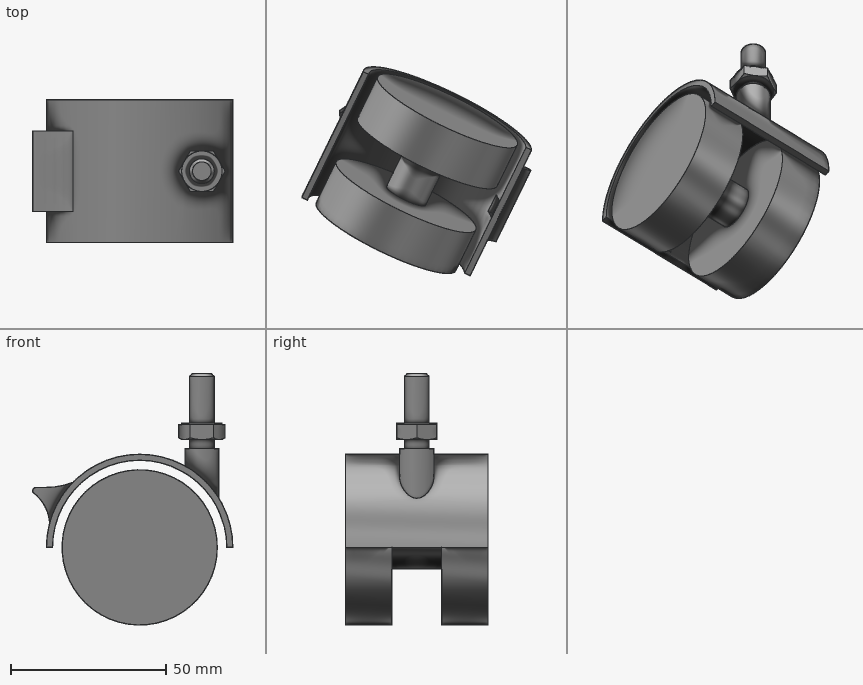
import cadquery as cq
import math

body_width = 46.0

wheel_radius = 25.0
wheel_width = 15.0
axle_radius = 7.0

cover_radius = 30.0
cover_thickness = 2.0

window_size = 6.0
window_bottom = 2.0

lever_width = 26.0
lever_tip_x = -34.46
lever_top = 19.33
lever_tip_radius = 1.2
lever_tip_bottom = 17.7
lever_flat_end_x = -30.2
lever_root_x = -21.5
lever_bottom = 7.7
lever_underside_radius = 13.3

stem_x = 20.0
stem_top = 56.0
stem_radius = 4.0
stem_chamfer = 1.0
post_radius = 5.5
post_top = 31.8
nut_across_flats = 13.0
nut_bottom = 34.7
nut_hex_top = 39.5
nut_top = 40.0
nut_chamfer_angle = 30.0


def y_cylinder(radius, width):
    """Cylinder on the wheel axis, centred on Y = 0."""
    return cq.Workplane("XZ", origin=(0, width / 2, 0)).circle(radius).extrude(width)


def on_cover(x=None, z=None):
    """Point on the cover's outer arc, on the lever side, from its x or its z."""
    if x is None:
        return (-math.sqrt(cover_radius**2 - z**2), z)
    return (x, math.sqrt(cover_radius**2 - x**2))


def z_cylinder(radius, bottom, top):
    """Cylinder on the stem axis."""
    return cq.Workplane("XY", origin=(stem_x, 0, bottom)).circle(radius).extrude(top - bottom)


def make_cover_shell():
    inner_radius = cover_radius - cover_thickness
    shell = (
        cq.Workplane("XZ")
        .moveTo(-cover_radius, 0)
        .threePointArc((0, cover_radius), (cover_radius, 0))
        .lineTo(inner_radius, 0)
        .threePointArc((0, inner_radius), (-inner_radius, 0))
        .close()
        .extrude(body_width / 2, both=True)
    )
    window = cq.Workplane("XY").box(cover_radius, window_size, window_size, centered=(False, True, False))
    return shell.cut(window.translate((-cover_radius, 0, window_bottom)))


def make_lever():
    root_top = on_cover(x=lever_root_x)
    root_bottom = on_cover(z=lever_bottom)
    root_middle = on_cover(z=(root_top[1] + lever_bottom) / 2)

    tip_x = lever_tip_x + lever_tip_radius
    tip_z = lever_top - lever_tip_radius
    tip_edge_x = tip_x - math.sqrt(lever_tip_radius**2 - (tip_z - lever_tip_bottom) ** 2)
    return (
        cq.Workplane("XZ", origin=(0, lever_width / 2, 0))
        .moveTo(*root_bottom)
        .radiusArc((tip_edge_x, lever_tip_bottom), -lever_underside_radius)
        .threePointArc((lever_tip_x, tip_z), (tip_x, lever_top))
        .lineTo(lever_flat_end_x, lever_top)
        .tangentArcPoint(root_top, relative=False)
        .threePointArc(root_middle, root_bottom)
        .close()
        .extrude(lever_width)
    )


def make_post():
    post = z_cylinder(post_radius, 0, post_top)
    return post.cut(y_cylinder(cover_radius - cover_thickness, body_width))


def make_stem():
    return z_cylinder(stem_radius, post_top, stem_top).faces(">Z").chamfer(stem_chamfer)


def make_nut():
    corner_diameter = nut_across_flats / math.cos(math.radians(30))
    face_radius = nut_across_flats / 2
    hexagon = (
        cq.Workplane("XY", origin=(stem_x, 0, nut_bottom))
        .polygon(6, corner_diameter)
        .extrude(nut_hex_top - nut_bottom)
    )
    cone_height = nut_hex_top - nut_bottom
    cone_top_radius = face_radius + cone_height / math.tan(math.radians(nut_chamfer_angle))
    cone = cq.Solid.makeCone(face_radius, cone_top_radius, cone_height, pnt=cq.Vector(stem_x, 0, nut_bottom))
    washer_face = z_cylinder(face_radius, nut_hex_top, nut_top)
    return hexagon.intersect(cq.Workplane(cone)).union(washer_face)


def make_housing():
    """Cover, lever, post, stem and nut as one solid."""
    return make_cover_shell().union(make_lever()).union(make_post()).union(make_stem()).union(make_nut())


def make_wheel_set():
    """Two wheels joined by their axle."""
    wheel_set = y_cylinder(axle_radius, body_width - 2 * wheel_width)
    wheel_offset = (body_width - wheel_width) / 2
    for side in (-1, 1):
        wheel_set = wheel_set.union(y_cylinder(wheel_radius, wheel_width).translate((0, side * wheel_offset, 0)))
    return wheel_set


housing = make_housing()
wheel_set = make_wheel_set()

result = cq.Compound.makeCompound([housing.val(), wheel_set.val()])